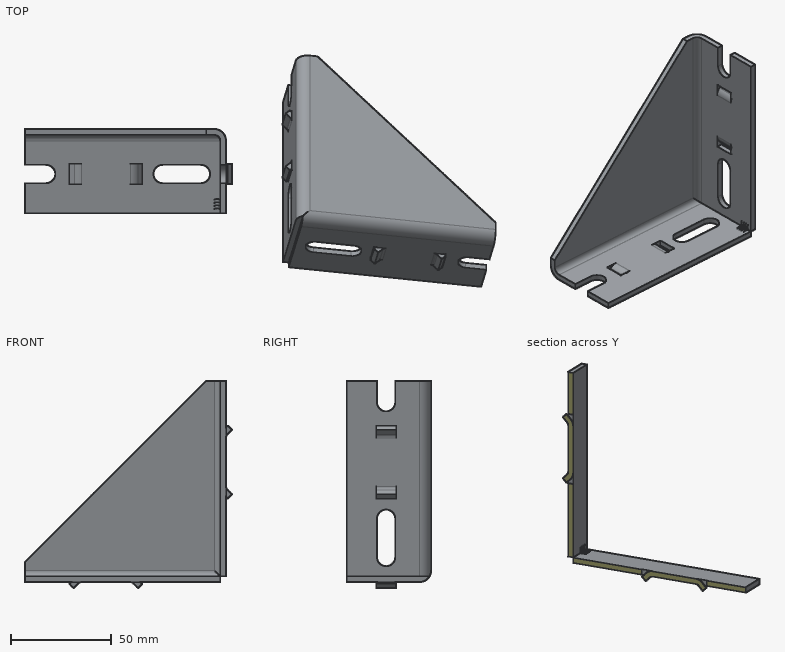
import cadquery as cq
import math


thickness = 3.0
leg_length = 100.0
leg_width = 42.0
inner_bend_radius = 3.0
outer_bend_radius = inner_bend_radius + thickness
gusset_end_height = 10.0
corner_overlap = 0.1
corner_relief = thickness - corner_overlap

slot_width = 9.0
slot_line_y = -22.5
slot_start = 8.0
slot_end = 36.0
open_slot_depth = 15.0

tab_width = 10.0
tab_angle = math.radians(45)
tab_outer_radius = 5.2
tab_inner_radius = tab_outer_radius - thickness
tab_projection = thickness
tab_pair_center = 59.7
tab_root_offset = 12.2

tab_sin = math.sin(tab_angle)
tab_cos = math.cos(tab_angle)
bend_drop = tab_outer_radius * (1 - tab_cos)
tab_end_drop = thickness + tab_projection - thickness * tab_cos
tab_straight = (tab_end_drop - bend_drop) / tab_sin
tab_reach = tab_outer_radius * tab_sin + tab_straight * tab_cos

ripple_count = 4
ripple_pitch = 1.5
ripple_first_y = -40.0
ripple_span = thickness
ripple_rise = 0.4
ripple_line = 0.1

DIAGONAL_NORMAL = (1, 0, 1)


def on_other_leg(shape):
    """Mirror a feature of the bottom leg onto the upright leg."""
    return shape.mirror(DIAGONAL_NORMAL)


def corner_block(inset, bend_radius):
    """Block set in from the outer faces, rounded along both bends."""
    size = leg_length - inset
    return (
        cq.Workplane("XY")
        .box(size, leg_width - inset, size, centered=False)
        .translate((-leg_length, -leg_width, inset))
        .edges("(>Y and <Z) or (>Y and >X)")
        .fillet(bend_radius)
    )


def folded_sheet():
    """Both legs and the gusset, with the sloping edge and corner relief cut."""
    sheet = corner_block(0, outer_bend_radius).cut(corner_block(thickness, inner_bend_radius))
    slope_cut = (
        cq.Workplane("XZ")
        .moveTo(-leg_length, gusset_end_height)
        .lineTo(-leg_length, leg_length)
        .lineTo(-gusset_end_height, leg_length)
        .close()
        .extrude(leg_width)
    )
    relief = (
        cq.Workplane("XY")
        .box(corner_relief, leg_width, corner_relief, centered=False)
        .translate((-corner_relief, -leg_width, 0))
    )
    return sheet.cut(slope_cut).cut(relief)


def slot_cutter(near, far):
    """Round-ended slot through the bottom leg between two distances from the corner."""
    return (
        cq.Workplane("XY")
        .center(-(near + far) / 2, slot_line_y)
        .slot2D(far - near, slot_width)
        .extrude(thickness)
    )


def leg_slots():
    """Closed slot near the corner and slot running out of the leg's end."""
    closed_slot = slot_cutter(slot_start, slot_end)
    open_slot = slot_cutter(leg_length - open_slot_depth, leg_length + slot_width)
    return closed_slot.union(open_slot)


def tab(direction):
    """Strip bent down from its root along X in the given direction (-1 or 1)."""
    bend_center_z = thickness - tab_outer_radius

    def bend_point(radius, angle):
        return (direction * radius * math.sin(angle), bend_center_z + radius * math.cos(angle))

    run_x = direction * tab_straight * tab_cos
    run_z = -tab_straight * tab_sin
    top_x, top_z = bend_point(tab_outer_radius, tab_angle)
    under_x, under_z = bend_point(tab_inner_radius, tab_angle)
    return (
        cq.Workplane("XZ")
        .moveTo(0, thickness)
        .threePointArc(bend_point(tab_outer_radius, tab_angle / 2), (top_x, top_z))
        .lineTo(top_x + run_x, top_z + run_z)
        .lineTo(under_x + run_x, under_z + run_z)
        .lineTo(under_x, under_z)
        .threePointArc(bend_point(tab_inner_radius, tab_angle / 2), (0, 0))
        .close()
        .extrude(tab_width / 2, both=True)
    )


def tab_window(direction):
    """Opening left in the leg by a tab, as long as the tab's reach."""
    return (
        cq.Workplane("XY")
        .center(direction * tab_reach / 2, 0)
        .rect(tab_reach, tab_width)
        .extrude(thickness)
    )


def ripple_grooves():
    """Row of shallow arc grooves in the bottom leg beside the inner corner."""
    grooves = cq.Workplane("XY")
    near_x = -thickness
    far_x = near_x - ripple_span
    middle_x = (near_x + far_x) / 2
    for index in range(ripple_count):
        y = ripple_first_y + index * ripple_pitch
        groove = (
            cq.Workplane("XY", origin=(0, y, thickness - ripple_line))
            .moveTo(far_x, 0)
            .threePointArc((middle_x, ripple_rise), (near_x, 0))
            .lineTo(near_x, ripple_line)
            .threePointArc((middle_x, ripple_rise + ripple_line), (far_x, ripple_line))
            .close()
            .extrude(ripple_line)
        )
        grooves = grooves.add(groove)
    return grooves.combine()


cutters = [leg_slots(), ripple_grooves()]
tabs = []
for direction in (-1, 1):
    root = (-tab_pair_center + direction * tab_root_offset, slot_line_y, 0)
    cutters.append(tab_window(direction).translate(root))
    tabs.append(tab(direction).translate(root))

result = folded_sheet()
for cutter in cutters:
    result = result.cut(cutter).cut(on_other_leg(cutter))
for bent_tab in tabs:
    result = result.union(bent_tab).union(on_other_leg(bent_tab))